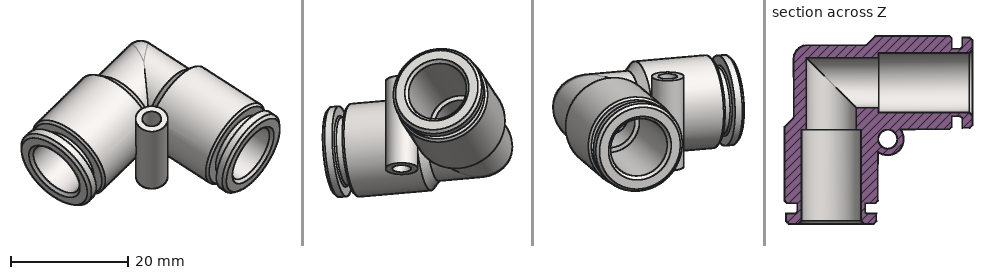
import cadquery as cq
import math

body_dia = 16.0
overall_length = 32.1
arm_end = overall_length - body_dia / 2

elbow_dia = 12.97
corner_fillet = 2.5
shoulder_start = 6.0
shoulder_end = 7.48
body_end = 20.58
body_chamfer = 0.42

neck_dia = 11.62
collar_dia = 15.5
collar_thickness = 1.8
collar_chamfer = 0.5
neck_flare = 0.3

mouth_dia = 11.25
mouth_depth = 0.55
socket_dia = 10.15
socket_depth = 16.05
bore_dia = 8.5

lug_dia = 5.5
lug_hole_dia = 3.2
lug_offset = 9.63

reach = 2 * overall_length


def prism(*corners):
    """Upright prism, taller than the part, over a polygon in the XY plane."""
    return cq.Workplane("XY").polyline(corners).close().extrude(reach, both=True)


def revolved_arm(profile):
    """Revolve an (x, radius) profile about the X axis and trim it at the mitre plane y = -x."""
    solid = cq.Workplane("XY").polyline(profile).close().revolve(360, (0, 0), (1, 0))
    arm_side = prism((-reach, reach), (reach, -reach), (reach, reach))
    return solid.intersect(arm_side)


def both_arms(arm):
    """Join the +X arm to its mirror twin, which points along -Y."""
    twin = arm.rotate((0, 0, 0), (1, -1, 0), 180)
    return arm.union(twin)


def outer_arm():
    """Elbow tube, conical shoulder, body, neck and release collar of one arm."""
    elbow_radius = elbow_dia / 2
    body_radius = body_dia / 2
    neck_radius = neck_dia / 2
    collar_radius = collar_dia / 2
    collar_back = arm_end - collar_thickness
    return revolved_arm([
        (-body_radius, 0),
        (-body_radius, elbow_radius),
        (shoulder_start, elbow_radius),
        (shoulder_end, body_radius),
        (body_end - body_chamfer, body_radius),
        (body_end, body_radius - body_chamfer),
        (body_end, neck_radius),
        (collar_back - neck_flare, neck_radius),
        (collar_back, neck_radius + neck_flare),
        (collar_back, collar_radius),
        (arm_end - collar_chamfer, collar_radius),
        (arm_end, collar_radius - collar_chamfer),
        (arm_end, 0),
    ])


def inner_arm():
    """Cavity of one arm: flow bore, stepped tube socket and conical mouth."""
    bore_radius = bore_dia / 2
    socket_radius = socket_dia / 2
    return revolved_arm([
        (-bore_radius, 0),
        (-bore_radius, bore_radius),
        (arm_end - socket_depth, bore_radius),
        (arm_end - socket_depth, socket_radius),
        (arm_end - mouth_depth, socket_radius),
        (arm_end, mouth_dia / 2),
        (arm_end, 0),
    ])


def round_outer_corner(solid):
    """Round the outer mitre edge with the path of a ball rolling inside both elbow tubes.

    The ball centre follows the outer half of the mitre ellipse of two tubes thinner by the
    ball radius, and the ball touches the elbow tubes on two upright planes through the crossing point.
    """
    elbow_radius = elbow_dia / 2
    path_radius = elbow_radius - corner_fillet
    slope = path_radius / elbow_radius
    wedge = prism((0, 0), (-reach, reach * slope), (-reach, reach), (-reach * slope, reach))

    mitre_plane = cq.Plane(origin=(0, 0, 0), xDir=(-1, 1, 0), normal=(1, 1, 0))
    path = cq.Workplane(mitre_plane).ellipseArc(
        path_radius * math.sqrt(2), path_radius, -90, 90, startAtCurrent=False
    )
    ball_plane = cq.Plane(origin=(0, 0, -path_radius), xDir=(1, 1, 0), normal=(-1, 1, 0))
    ball_sweep = cq.Workplane(ball_plane).circle(corner_fillet).sweep(path)
    core = both_arms(revolved_arm([
        (-elbow_radius, 0),
        (-elbow_radius, path_radius),
        (elbow_radius, path_radius),
        (elbow_radius, 0),
    ]))
    corner = ball_sweep.union(core).intersect(wedge)
    return solid.cut(wedge).union(corner)


def lug_cylinder(diameter):
    """Upright cylinder at the lug position, as tall as the body."""
    return (
        cq.Workplane("XY", origin=(lug_offset, -lug_offset, -body_dia / 2))
        .circle(diameter / 2)
        .extrude(body_dia)
    )


result = round_outer_corner(both_arms(outer_arm()))
result = result.union(lug_cylinder(lug_dia))
result = result.cut(lug_cylinder(lug_hole_dia))
result = result.cut(both_arms(inner_arm()))